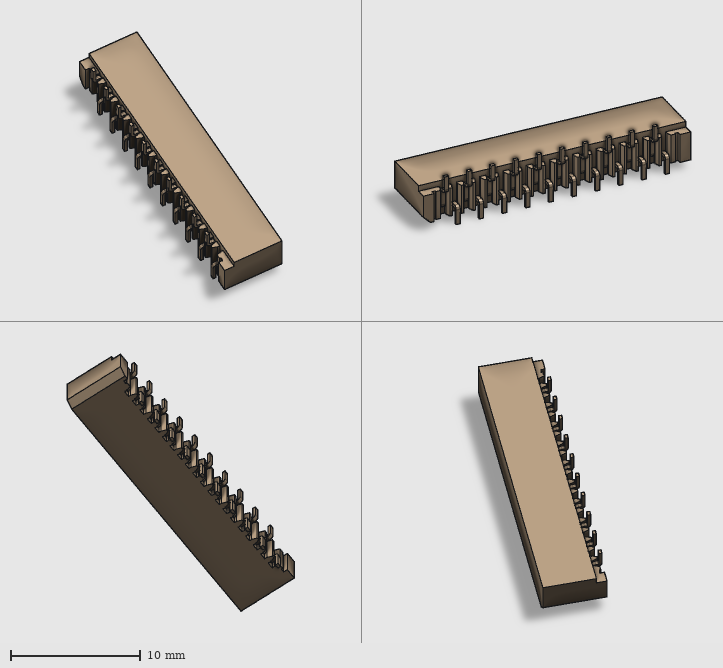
import cadquery as cq

LENGTH = 23.0
DEPTH = 5.1
HEIGHT = 3.0
CORNER_CHAMFER = 0.6

LEDGE_DEPTH = 0.85
LEDGE_DROP = 0.5

END_BLOCK_WIDTH = 0.93
NOTCH_DEPTH = 0.35
NOTCH_WIDTH = 0.27

CONTACT_COUNT = 20
PITCH = 1.0
CONTACT_WIDTH = 0.35
CONTACT_THICKNESS = 0.25
INNER_RADIUS = 0.05
UP_BEND_RADIUS = 0.35
DOWN_BEND_RADIUS = INNER_RADIUS + CONTACT_THICKNESS
LEG_OVERHANG = 0.75
TAIL_BOTTOM = 0.61
CROSSBAR_BOTTOM = 2.23
ANCHOR_DEPTH = 0.5

GROOVE_WIDTH = 0.5
GROOVE_STRAIGHT = 0.2
COMB_DEPTH = 0.62
RIB_TIP_WIDTH = 0.2

LEDGE_BACK = LEDGE_DEPTH
RIB_TIP = LEDGE_BACK - COMB_DEPTH
FLARE_START = LEDGE_BACK - GROOVE_STRAIGHT
LEDGE_TOP = HEIGHT - LEDGE_DROP

FIRST_CONTACT = -PITCH * (CONTACT_COUNT - 1) / 2


def prism_x(profile, center_x, width):
    """Extrude a YZ profile symmetrically about center_x."""
    return profile.extrude(width / 2, both=True).translate((center_x, 0, 0))


def make_housing():
    """L-shaped block with one bevelled lower edge at its -X end."""
    block = cq.Workplane("XY").box(LENGTH, DEPTH, HEIGHT, centered=(True, False, False))
    block = block.edges("<X and <Z").chamfer(CORNER_CHAMFER)
    step = (
        cq.Workplane("XY")
        .box(LENGTH, LEDGE_DEPTH, LEDGE_DROP, centered=(True, False, False))
        .translate((0, 0, LEDGE_TOP))
    )
    return block.cut(step)


def make_comb_relief():
    """Space in front of the rib tips, with a notch beside each end block."""
    outer = LENGTH / 2 - END_BLOCK_WIDTH
    inner = outer - NOTCH_WIDTH
    points = [
        (-outer, 0),
        (-outer, NOTCH_DEPTH),
        (-inner, NOTCH_DEPTH),
        (-inner, RIB_TIP),
        (inner, RIB_TIP),
        (inner, NOTCH_DEPTH),
        (outer, NOTCH_DEPTH),
        (outer, 0),
    ]
    return cq.Workplane("XY").polyline(points).close().extrude(HEIGHT)


def make_groove(center_x):
    """Vertical groove that holds one contact."""
    half = GROOVE_WIDTH / 2
    mouth_half = (PITCH - RIB_TIP_WIDTH) / 2
    points = [
        (-half, LEDGE_BACK),
        (-half, FLARE_START),
        (-mouth_half, RIB_TIP),
        (mouth_half, RIB_TIP),
        (half, FLARE_START),
        (half, LEDGE_BACK),
    ]
    return cq.Workplane("XY").polyline(points).close().extrude(HEIGHT).translate((center_x, 0, 0))


def make_down_contact(center_x):
    """L-shaped contact: straight out of the housing, then down along the front."""
    tail_top = TAIL_BOTTOM + CONTACT_THICKNESS
    anchor = LEDGE_BACK + ANCHOR_DEPTH
    profile = (
        cq.Workplane("YZ")
        .moveTo(anchor, TAIL_BOTTOM)
        .lineTo(anchor, tail_top)
        .lineTo(DOWN_BEND_RADIUS, tail_top)
        .radiusArc((0, tail_top - DOWN_BEND_RADIUS), -DOWN_BEND_RADIUS)
        .lineTo(0, -LEG_OVERHANG)
        .lineTo(CONTACT_THICKNESS, -LEG_OVERHANG)
        .lineTo(CONTACT_THICKNESS, TAIL_BOTTOM - INNER_RADIUS)
        .radiusArc((DOWN_BEND_RADIUS, TAIL_BOTTOM), INNER_RADIUS)
        .close()
    )
    return prism_x(profile, center_x, CONTACT_WIDTH)


def make_up_contact(center_x):
    """Contact that rises along the groove, steps forward and rises again along the front."""
    tail_top = TAIL_BOTTOM + CONTACT_THICKNESS
    crossbar_top = CROSSBAR_BOTTOM + CONTACT_THICKNESS
    leg_top = HEIGHT + LEG_OVERHANG
    anchor = LEDGE_BACK + ANCHOR_DEPTH
    riser_back = LEDGE_BACK
    riser_front = riser_back - CONTACT_THICKNESS
    profile = (
        cq.Workplane("YZ")
        .moveTo(anchor, tail_top)
        .lineTo(anchor, TAIL_BOTTOM)
        .lineTo(riser_front + UP_BEND_RADIUS, TAIL_BOTTOM)
        .radiusArc((riser_front, TAIL_BOTTOM + UP_BEND_RADIUS), UP_BEND_RADIUS)
        .lineTo(riser_front, CROSSBAR_BOTTOM - INNER_RADIUS)
        .radiusArc((riser_front - INNER_RADIUS, CROSSBAR_BOTTOM), -INNER_RADIUS)
        .lineTo(UP_BEND_RADIUS, CROSSBAR_BOTTOM)
        .radiusArc((0, CROSSBAR_BOTTOM + UP_BEND_RADIUS), UP_BEND_RADIUS)
        .lineTo(0, leg_top)
        .lineTo(CONTACT_THICKNESS, leg_top)
        .lineTo(CONTACT_THICKNESS, crossbar_top + INNER_RADIUS)
        .radiusArc((CONTACT_THICKNESS + INNER_RADIUS, crossbar_top), -INNER_RADIUS)
        .lineTo(riser_back - UP_BEND_RADIUS, crossbar_top)
        .radiusArc((riser_back, crossbar_top - UP_BEND_RADIUS), UP_BEND_RADIUS)
        .lineTo(riser_back, tail_top + INNER_RADIUS)
        .radiusArc((riser_back + INNER_RADIUS, tail_top), -INNER_RADIUS)
        .close()
    )
    return prism_x(profile, center_x, CONTACT_WIDTH)


housing = make_housing().cut(make_comb_relief())
contacts = []
for index in range(CONTACT_COUNT):
    x = FIRST_CONTACT + index * PITCH
    housing = housing.cut(make_groove(x))
    turns_up = index % 2 == 0
    contacts.append(make_up_contact(x) if turns_up else make_down_contact(x))

result = housing
for contact in contacts:
    result = result.union(contact)